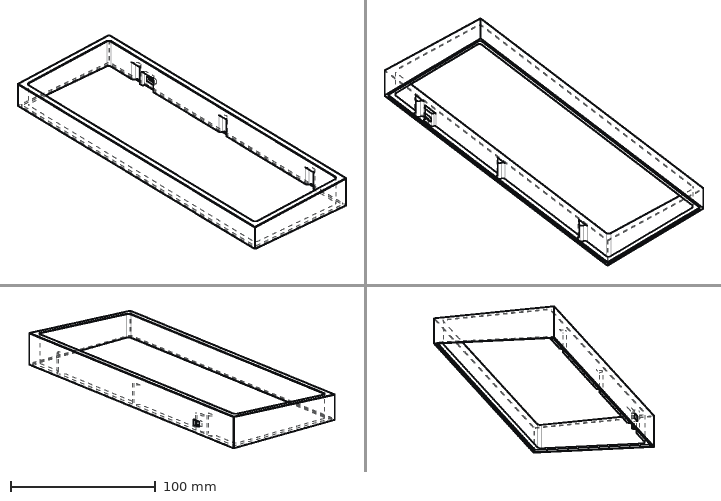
import cadquery as cq
import math

length = 239.0
depth = 87.0
height = 23.0
front_rise = 4.5
wall = 4.8
edge_chamfer = 0.35
inner_radius = 2.2

lip = 1.5
step_height = 1.5
step_radius = 2.0

rear_groove_depth = wall - lip
groove_flank = 3.8
groove_top = 15.8
side_groove_x = 87.5
side_groove_floor = 1.5
middle_groove_floor = 0.5

port_x = -75.8
port_depth = 2.5
port_floor = 7.2
port_flank = 2.5
port_top = 13.1
slot_length = 7.2
slot_height = 3.8
slot_z = 7.2
slot_corner_radius = 0.81

inner_length = length - 2 * wall
inner_depth = depth - 2 * wall
inner_back = depth / 2 - wall


def wedge(lift):
    """Block below the sloped bottom plane raised by `lift`, three frame depths long."""
    front_y = -1.5 * depth
    rear_y = 1.5 * depth
    return (
        cq.Workplane("YZ")
        .polyline([
            (front_y, 2 * front_rise + lift),
            (rear_y, -front_rise + lift),
            (rear_y, -height),
            (front_y, -height),
        ])
        .close()
        .extrude(length, both=True)
    )


def rounded_block(size_x, size_y, radius):
    """Full-height block with rounded vertical edges."""
    return cq.Workplane("XY").rect(size_x, size_y).extrude(height).edges("|Z").fillet(radius)


def groove(center_x, floor_width, flank_width, groove_depth, top):
    """Cutter for a groove with S-shaped flanks, open at the bottom."""
    floor_x = floor_width / 2
    mouth_x = floor_x + flank_width
    middle_x = floor_x + flank_width / 2
    floor_y = inner_back + groove_depth
    middle_y = inner_back + groove_depth / 2

    arc_radius = (flank_width ** 2 + groove_depth ** 2) / (4 * groove_depth)
    half_turn = math.atan(groove_depth / flank_width)
    across = arc_radius * math.sin(half_turn)
    inward = arc_radius * (1 - math.cos(half_turn))
    return (
        cq.Workplane("XY", origin=(center_x, 0, 0))
        .moveTo(-mouth_x, inner_back)
        .threePointArc((-mouth_x + across, inner_back + inward), (-middle_x, middle_y))
        .threePointArc((-floor_x - across, floor_y - inward), (-floor_x, floor_y))
        .lineTo(floor_x, floor_y)
        .threePointArc((floor_x + across, floor_y - inward), (middle_x, middle_y))
        .threePointArc((mouth_x - across, inner_back + inward), (mouth_x, inner_back))
        .close()
        .extrude(top)
    )


def port_slot():
    """Cutter for the connector slot, through the full rear wall."""
    return (
        cq.Workplane("XZ", origin=(port_x, depth / 2, slot_z))
        .rect(slot_length, slot_height)
        .extrude(wall)
        .edges("|Y").fillet(slot_corner_radius)
    )


frame = cq.Workplane("XY").box(length, depth, height, centered=(True, True, False))
frame = frame.edges("|Z").chamfer(edge_chamfer)
frame = frame.cut(rounded_block(inner_length, inner_depth, inner_radius))
frame = frame.faces(">Z").edges().chamfer(edge_chamfer)
frame = frame.cut(wedge(0))

step = rounded_block(length - 2 * lip, depth - 2 * lip, step_radius).intersect(wedge(step_height))
frame = frame.cut(step)

for x, floor in (
    (-side_groove_x, side_groove_floor),
    (0, middle_groove_floor),
    (side_groove_x, side_groove_floor),
):
    frame = frame.cut(groove(x, floor, groove_flank, rear_groove_depth, groove_top))
frame = frame.cut(groove(port_x, port_floor, port_flank, port_depth, port_top))
frame = frame.cut(port_slot())

result = frame